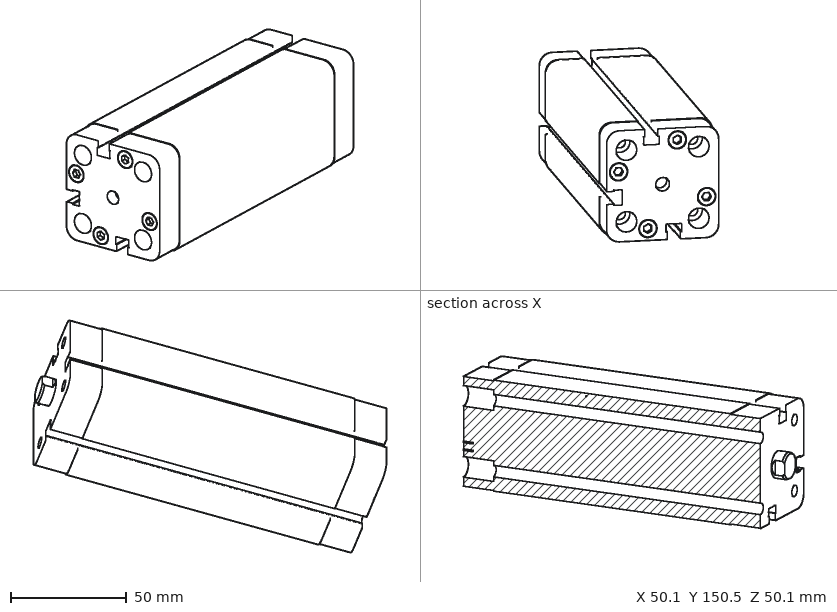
import cadquery as cq

TOTAL_LENGTH = 150.5
BODY_SIDE = 50.1
CAP_SIDE = 49.5
CORNER_RADIUS = 5.7
CAP_LENGTH = 14.6

ROD_DIAMETER = 12.0
ROD_LENGTH = 6.0
ROD_FLAT_WIDTH = 10.1
ROD_FLAT_LENGTH = 4.7
ROD_TIP_BEVEL_LENGTH = 1.0
ROD_TIP_BEVEL_INSET = 0.5

SLOT_OFFSET = 5.0
SLOT_MOUTH_WIDTH = 5.7
SLOT_CHANNEL_WIDTH = 6.8
SLOT_MOUTH_DEPTH = 3.6
SLOT_DEPTH = 7.2
SLOT_EDGE_RADIUS = 0.5
SLOT_ANGLES = (0, -90, -180)

MOUNT_OFFSET = 16.0
MOUNT_DIAMETER = 5.0
MOUNT_BORE_DIAMETER = 9.0

CENTRE_HOLE_DIAMETER = 6.0
CENTRE_HOLE_DEPTH = 6.0

SCREW_OFFSET_ALONG = 6.5
SCREW_OFFSET_OUT = 19.4
SCREW_BORE_DIAMETER = 8.0
SCREW_HEAD_DIAMETER = 7.5
SCREW_HEAD_HEIGHT = 4.5
SOCKET_CORNER_WIDTH = 4.0
SOCKET_DEPTH = 2.3
SCREW_ANGLES = (0, 90, 180, 270)

HOUSING_LENGTH = TOTAL_LENGTH - ROD_LENGTH
FRONT_Y = -TOTAL_LENGTH / 2
HOUSING_END_Y = FRONT_Y + HOUSING_LENGTH
ROD_TIP_Y = TOTAL_LENGTH / 2
AXIS_START = (0, 0, 0)
AXIS_END = (0, 1, 0)


def section(y):
    """Work plane across the axis at y: local x is X, local y is Z."""
    return cq.Workplane("XZ", origin=(0, y, 0))


def rounded_bar(side, start_y, length):
    """Square bar with rounded long edges, running toward +Y from start_y."""
    return section(start_y).rect(side, side).extrude(-length).edges("|Y").fillet(CORNER_RADIUS)


def turned(shape, angle):
    """Copy of a shape turned about the cylinder axis."""
    return shape.rotate(AXIS_START, AXIS_END, angle)


def make_slot(side, start_y, length):
    """Cutter for the slot in the +Z side of a bar, with rounded mouth edges and floor corners."""
    top = side / 2
    floor = BODY_SIDE / 2 - SLOT_DEPTH
    lip = BODY_SIDE / 2 - SLOT_MOUTH_DEPTH
    mouth = SLOT_MOUTH_WIDTH / 2
    channel = SLOT_CHANNEL_WIDTH / 2
    radius = SLOT_EDGE_RADIUS
    half_slot = (
        section(start_y)
        .center(-SLOT_OFFSET, 0)
        .moveTo(0, top)
        .lineTo(mouth + radius, top)
        .radiusArc((mouth, top - radius), -radius)
        .lineTo(mouth, lip)
        .lineTo(channel, lip)
        .lineTo(channel, floor + radius)
        .radiusArc((channel - radius, floor), radius)
        .lineTo(0, floor)
        .close()
        .extrude(-length)
    )
    return half_slot.union(half_slot.mirror("YZ", (-SLOT_OFFSET, 0, 0)))


def make_housing_part(side, start_y, length):
    """Rounded square bar with a slot in its top, left and bottom sides."""
    part = rounded_bar(side, start_y, length)
    slot = make_slot(side, start_y, length)
    for angle in SLOT_ANGLES:
        part = part.cut(turned(slot, angle))
    return part


def make_housing():
    """Profile tube with a slightly smaller cap at each end."""
    tube_start_y = FRONT_Y + CAP_LENGTH
    tube_end_y = HOUSING_END_Y - CAP_LENGTH
    front_cap = make_housing_part(CAP_SIDE, FRONT_Y, CAP_LENGTH)
    tube = make_housing_part(BODY_SIDE, tube_start_y, tube_end_y - tube_start_y)
    rear_cap = make_housing_part(CAP_SIDE, tube_end_y, CAP_LENGTH)
    return front_cap.union(tube).union(rear_cap)


def make_mount_holes():
    """Cutters for the four through holes and their counterbores."""
    corners = section(FRONT_Y).rect(2 * MOUNT_OFFSET, 2 * MOUNT_OFFSET, forConstruction=True).vertices()
    holes = corners.circle(MOUNT_DIAMETER / 2).extrude(-HOUSING_LENGTH)
    bores = corners.circle(MOUNT_BORE_DIAMETER / 2).extrude(-CAP_LENGTH)
    return holes.union(bores)


def make_centre_hole():
    """Cutter for the blind hole in the middle of the front face."""
    return section(FRONT_Y).circle(CENTRE_HOLE_DIAMETER / 2).extrude(-CENTRE_HOLE_DEPTH)


def make_screw_recess():
    """Cutter for the clearance ring and hexagonal socket of the screw next to the +Z side."""
    centre = section(FRONT_Y).center(SCREW_OFFSET_ALONG, SCREW_OFFSET_OUT)
    ring = centre.circle(SCREW_BORE_DIAMETER / 2).circle(SCREW_HEAD_DIAMETER / 2)
    socket = section(FRONT_Y).polygon(6, SOCKET_CORNER_WIDTH).extrude(-SOCKET_DEPTH)
    socket = turned(socket, 90).translate((SCREW_OFFSET_ALONG, 0, SCREW_OFFSET_OUT))
    return ring.extrude(-SCREW_HEAD_HEIGHT).union(socket)


def make_rod():
    """Rod tip with a bevelled end and two wrench flats that run out at 45 degrees."""
    radius = ROD_DIAMETER / 2
    flat = ROD_FLAT_WIDTH / 2
    tip_radius = radius - ROD_TIP_BEVEL_INSET
    flat_start_y = ROD_TIP_Y - ROD_FLAT_LENGTH
    runout_y = flat_start_y - (radius - flat)
    rod = (
        cq.Workplane("XY")
        .moveTo(0, HOUSING_END_Y)
        .lineTo(radius, HOUSING_END_Y)
        .lineTo(radius, ROD_TIP_Y - ROD_TIP_BEVEL_LENGTH)
        .lineTo(tip_radius, ROD_TIP_Y)
        .lineTo(0, ROD_TIP_Y)
        .close()
        .revolve(360, AXIS_START, AXIS_END)
    )
    flat_cutter = (
        cq.Workplane("XY")
        .moveTo(flat, ROD_TIP_Y)
        .lineTo(flat, flat_start_y)
        .lineTo(radius, runout_y)
        .lineTo(radius, ROD_TIP_Y)
        .close()
        .extrude(radius, both=True)
    )
    return rod.cut(flat_cutter).cut(turned(flat_cutter, 180))


result = make_housing().union(make_rod())
result = result.cut(make_mount_holes())
result = result.cut(make_centre_hole())

screw_recess = make_screw_recess()
for angle in SCREW_ANGLES:
    result = result.cut(turned(screw_recess, angle))